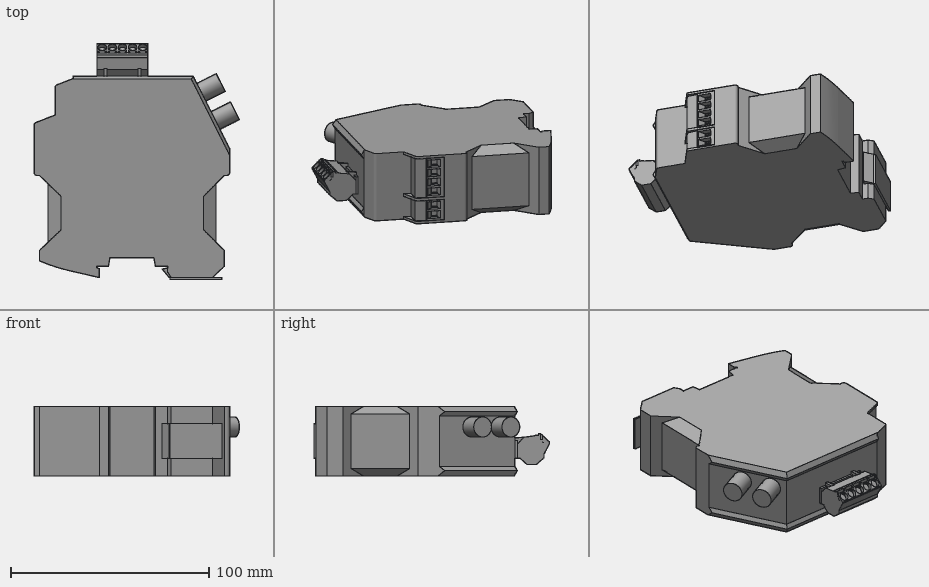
import cadquery as cq
import math

THICKNESS = 35.2
WIDTH = 98.8
TOP_Y = 102.7
SHOULDER_Y = 101.5
PANEL_LEFT_X = 19.8
PANEL_CORNER_X = 80.3
SLANT_END_Y = 66.1
SIDE_BOTTOM_Y = 52.5
CORNER_RADIUS = 1.5

STEP_X = 10.6
STEP_Y = 83.1
STEP_TOP_Y = 98.0
STEP_SLOPE = (SHOULDER_Y - STEP_TOP_Y) / (PANEL_LEFT_X - STEP_X)

FOOT_LEFT_X = 2.7
FOOT_RIGHT_X = WIDTH - FOOT_LEFT_X
NOTCH_LEFT_X = 13.7
NOTCH_RIGHT_X = 85.6
NOTCH_LOW_Y = 25.1
NOTCH_HIGH_Y = 42.0
FOOT_TOP_Y = 14.8
FOOT_LEFT_Y = 9.4
FOOT_BEND = (17.5, 4.5)
FOOT_TIP = (33.0, 1.0)
HOOK_NOTCH_Y = 5.5
HOOK_X = 31.8
HOOK_Y = 6.1
RAIL_Y = 6.7
RAIL_RECESS_Y = 11.0
RAIL_RECESS_LOW_X = (37.6, 61.2)
RAIL_RECESS_HIGH_X = (38.3, 60.5)
RIGHT_FOOT_X = 67.5
RIGHT_FOOT_STEP_Y = 3.7
RIGHT_FOOT_BASE_X = (69.2, 90.1)
RIGHT_FOOT_BASE_Y = 1.1

BLOCK_LEFT_X = 7.0
BLOCK_RIGHT_X = 91.9
BLOCK_INSET_Z = 3.8

RIDGE_DROP = 1.5
RIDGE_RUN = 2.7
GROOVE_DEPTH = 1.2

RIB_STEP = 0.5
TERMINAL_FACE_Y = (64.5, 73.5)
TERMINAL_GROUPS = ((1.3, 11.9, 2), (13.3, 33.9, 4))
TERMINAL_PITCH = 4.9
FUNNEL_Y = (66.5, 73.0)
FUNNEL_HEIGHT = 3.8
FUNNEL_DEPTH = 2.9
WELL_Y = (67.4, 70.5)
WELL_HEIGHT = 3.0
WELL_DEPTH = 1.2
SHELF_Y = 79.4
SHELF_X = 1.7

BARREL_DIAMETER = 10.1
BARREL_LENGTH = 11.0
BARREL_Z = 24.8
BARREL_OFFSETS = (9.2, 25.1)

PLUG_X = 31.8
PLUG_POLES = 5
PLUG_PITCH = 5.1
PLUG_WIDTH = 25.7
PLUG_LOW_Z = 8.9
PLUG_NECK_Y = 104.2
PLUG_BELLY_Y = (107.5, 112.4)
PLUG_BELLY_Z = 5.8
PLUG_FRONT_Y = 116.2
PLUG_FRONT_Z = (9.2, 11.0)
PLUG_NOSE_LOW_Z = 16.4
PLUG_LEDGE = (113.3, 20.6)
PLUG_LIP = (112.0, 20.7)
PLUG_LIP_FOOT = (111.2, 20.4)
SOCKET_HIGH_Z = 17.9
SOCKET_MARGIN = 0.4
SCREW_FACE_OUTER = (119.0, 17.1)
SCREW_FACE_INNER = (114.5, 21.4)
SCREW_CENTRE_Y = 117.2
SCREW_DIAMETER = 4.3
SCREW_DEPTH = 2.4
SLOT_Y = (114.4, 115.5)
SLOT_WIDTH = 4.3
SLOT_FLOOR_Z = 18.5
PLUG_HEEL = (106.0, 19.6)
PLUG_HEEL_LOW_Z = 16.1
LATCH_CENTRES_X = (36.1, 53.2)
LATCH_WIDTH = 1.7
LATCH_TOP = (106.7, 19.8)
LATCH_LOW_Z = 19.3

CLIP_Z = (8.9, 26.4)
CLIP_X = (68.6, 94.7)
CLIP_HOOK_HEEL_X = 68.1
CLIP_HOOK_TIP = (64.6, 5.4)

OVERLAP = 1.2
CLEARANCE = 6.0


def box_between(x, y, z):
    """Box spanning the given (low, high) pairs."""
    return cq.Workplane("XY").box(
        x[1] - x[0], y[1] - y[0], z[1] - z[0], centered=False
    ).translate((x[0], y[0], z[0]))


def housing():
    """Extruded housing outline with its four rounded corners."""
    step_low_y = STEP_Y - STEP_SLOPE * STEP_X
    body = (
        cq.Workplane("XY")
        .moveTo(*FOOT_TIP)
        .lineTo(*FOOT_BEND)
        .tangentArcPoint((FOOT_LEFT_X, FOOT_LEFT_Y), relative=False)
        .lineTo(FOOT_LEFT_X, FOOT_TOP_Y)
        .lineTo(NOTCH_LEFT_X, NOTCH_LOW_Y)
        .lineTo(NOTCH_LEFT_X, NOTCH_HIGH_Y)
        .lineTo(FOOT_LEFT_X, SIDE_BOTTOM_Y)
        .lineTo(0, SIDE_BOTTOM_Y)
        .lineTo(0, step_low_y)
        .lineTo(STEP_X, STEP_Y)
        .lineTo(STEP_X, STEP_TOP_Y)
        .lineTo(PANEL_LEFT_X, SHOULDER_Y)
        .lineTo(PANEL_LEFT_X, TOP_Y)
        .lineTo(PANEL_CORNER_X, TOP_Y)
        .lineTo(WIDTH, SLANT_END_Y)
        .lineTo(WIDTH, SIDE_BOTTOM_Y)
        .lineTo(FOOT_RIGHT_X, SIDE_BOTTOM_Y)
        .lineTo(NOTCH_RIGHT_X, NOTCH_HIGH_Y)
        .lineTo(NOTCH_RIGHT_X, NOTCH_LOW_Y)
        .lineTo(FOOT_RIGHT_X, FOOT_TOP_Y)
        .lineTo(FOOT_RIGHT_X, RAIL_Y)
        .lineTo(RIGHT_FOOT_BASE_X[1], RIGHT_FOOT_BASE_Y)
        .lineTo(RIGHT_FOOT_BASE_X[0], RIGHT_FOOT_BASE_Y)
        .lineTo(RIGHT_FOOT_X, RIGHT_FOOT_STEP_Y)
        .lineTo(RIGHT_FOOT_X, RAIL_Y)
        .lineTo(RAIL_RECESS_LOW_X[1], RAIL_Y)
        .lineTo(RAIL_RECESS_HIGH_X[1], RAIL_RECESS_Y)
        .lineTo(RAIL_RECESS_HIGH_X[0], RAIL_RECESS_Y)
        .lineTo(RAIL_RECESS_LOW_X[0], RAIL_Y)
        .lineTo(HOOK_X, RAIL_Y)
        .lineTo(HOOK_X, HOOK_Y)
        .lineTo(FOOT_TIP[0], HOOK_NOTCH_Y)
        .close()
        .extrude(THICKNESS)
    )
    rounded_corners = (
        (0, SIDE_BOTTOM_Y), (0, step_low_y), (STEP_X, STEP_TOP_Y), (WIDTH, SIDE_BOTTOM_Y)
    )
    for corner_x, corner_y in rounded_corners:
        edge = cq.selectors.NearestToPointSelector((corner_x, corner_y, THICKNESS / 2))
        body = body.edges("|Z").edges(edge).fillet(CORNER_RADIUS)
    return body


def waist_block(notch_x, outer_x, foot_x):
    """Block that fills a waist notch, its flanks sloping in towards the outer face."""
    flank_slope = (SIDE_BOTTOM_Y - NOTCH_HIGH_Y) / abs(notch_x - foot_x)
    reach = abs(notch_x - outer_x) * flank_slope
    low_y = NOTCH_LOW_Y - reach
    length = NOTCH_HIGH_Y - NOTCH_LOW_Y + 2 * reach
    return (
        cq.Workplane("XZ", origin=(0, low_y, 0))
        .polyline([
            (notch_x, 0),
            (outer_x, BLOCK_INSET_Z),
            (outer_x, THICKNESS - BLOCK_INSET_Z),
            (notch_x, THICKNESS),
        ])
        .close()
        .extrude(-length)
    )


def panel_relief(start, end):
    """Cutter that leaves two ridges on the panel face running from start to end."""
    along = cq.Vector(end[0] - start[0], end[1] - start[1], 0)
    outward = cq.Vector(-along.y, along.x, 0).normalized()
    length = along.Length + 2 * CLEARANCE
    origin = cq.Vector(*start, 0) - along.normalized() * CLEARANCE
    plane = cq.Plane(origin=origin, xDir=outward, normal=outward.cross(cq.Vector(0, 0, 1)))
    groove_run = RIDGE_RUN * GROOVE_DEPTH / RIDGE_DROP
    low_z = RIDGE_RUN
    high_z = THICKNESS - RIDGE_RUN
    sections = (
        [(-RIDGE_DROP, 0), (0, low_z), (CLEARANCE, low_z), (CLEARANCE, 0)],
        [(-RIDGE_DROP, THICKNESS), (0, high_z), (CLEARANCE, high_z), (CLEARANCE, THICKNESS)],
        [(0, low_z), (-GROOVE_DEPTH, low_z + groove_run),
         (-GROOVE_DEPTH, high_z - groove_run), (0, high_z)],
    )
    cutter = cq.Workplane("XY")
    for section in sections:
        cutter = cutter.add(cq.Workplane(plane).polyline(section).close().extrude(length))
    return cutter


def terminal_group(low_z, high_z, poles):
    """Cutter for one recessed group of side terminals."""
    face_low_y, face_high_y = TERMINAL_FACE_Y
    recess = (
        cq.Workplane("XY", origin=(0, 0, low_z))
        .polyline([
            (-CLEARANCE, face_low_y),
            (RIB_STEP, face_low_y),
            (RIB_STEP, face_high_y),
            (2 * RIB_STEP, face_high_y + RIB_STEP),
            (3 * RIB_STEP, SHELF_Y - 2 * RIB_STEP),
            (SHELF_X, SHELF_Y),
            (STEP_X, SHELF_Y),
            (STEP_X, STEP_Y),
            (-CLEARANCE, STEP_Y),
        ])
        .close()
        .extrude(high_z - low_z)
    )
    first_z = (low_z + high_z - (poles - 1) * TERMINAL_PITCH) / 2
    for pole in range(poles):
        recess = recess.union(wire_funnel(first_z + pole * TERMINAL_PITCH))
    return recess


def wire_funnel(centre_z):
    """Wire entry: a pocket with sloped ends and a rectangular well in its floor."""
    floor_x = RIB_STEP + FUNNEL_DEPTH
    pocket = (
        cq.Workplane("XY", origin=(0, 0, centre_z - FUNNEL_HEIGHT / 2))
        .polyline([
            (RIB_STEP, FUNNEL_Y[0]),
            (RIB_STEP, FUNNEL_Y[1]),
            (floor_x, WELL_Y[1]),
            (floor_x, WELL_Y[0]),
        ])
        .close()
        .extrude(FUNNEL_HEIGHT)
    )
    well = box_between(
        (floor_x, floor_x + WELL_DEPTH),
        WELL_Y,
        (centre_z - WELL_HEIGHT / 2, centre_z + WELL_HEIGHT / 2),
    )
    return pocket.union(well)


def fibre_barrel(offset):
    """Cylinder standing square on the slanted face."""
    angle = math.atan2(TOP_Y - SLANT_END_Y, WIDTH - PANEL_CORNER_X)
    outward = cq.Vector(math.sin(angle), math.cos(angle), 0)
    along = cq.Vector(math.cos(angle), -math.sin(angle), 0)
    sunk = GROOVE_DEPTH + OVERLAP
    base = cq.Vector(PANEL_CORNER_X, TOP_Y, BARREL_Z) + along * offset - outward * sunk
    return cq.Workplane("XY").add(
        cq.Solid.makeCylinder(BARREL_DIAMETER / 2, BARREL_LENGTH + sunk, base, outward)
    )


def plug():
    """Plug profile in YZ, with its latches, screw holes and slots."""
    body = (
        cq.Workplane("YZ", origin=(PLUG_X, 0, 0))
        .polyline([
            (TOP_Y, PLUG_LOW_Z),
            (PLUG_NECK_Y, PLUG_LOW_Z),
            (PLUG_BELLY_Y[0], PLUG_BELLY_Z),
            (PLUG_BELLY_Y[1], PLUG_BELLY_Z),
            (PLUG_FRONT_Y, PLUG_FRONT_Z[0]),
            (PLUG_FRONT_Y, PLUG_FRONT_Z[1]),
            (SCREW_FACE_OUTER[0], PLUG_NOSE_LOW_Z),
            SCREW_FACE_OUTER,
            SCREW_FACE_INNER,
            (PLUG_LEDGE[0], SCREW_FACE_INNER[1]),
            PLUG_LEDGE,
            PLUG_LIP,
            PLUG_LIP_FOOT,
            PLUG_HEEL,
            (TOP_Y, PLUG_HEEL_LOW_Z),
        ])
        .close()
        .extrude(PLUG_WIDTH)
    )
    for latch_x in LATCH_CENTRES_X:
        latch = (
            cq.Workplane("YZ", origin=(latch_x - LATCH_WIDTH / 2, 0, 0))
            .polyline([LATCH_TOP, (TOP_Y - OVERLAP, LATCH_LOW_Z),
                       (TOP_Y - OVERLAP, PLUG_HEEL_LOW_Z), (TOP_Y, PLUG_HEEL_LOW_Z - OVERLAP)])
            .close()
            .extrude(LATCH_WIDTH)
        )
        body = body.union(latch)

    rise = SCREW_FACE_INNER[1] - SCREW_FACE_OUTER[1]
    slope = rise / (SCREW_FACE_OUTER[0] - SCREW_FACE_INNER[0])
    screw_z = SCREW_FACE_OUTER[1] + slope * (SCREW_FACE_OUTER[0] - SCREW_CENTRE_Y)
    inward = cq.Vector(0, -slope, -1).normalized()
    for pole in range(PLUG_POLES):
        pole_x = PLUG_X + PLUG_WIDTH / 2 + (pole - (PLUG_POLES - 1) / 2) * PLUG_PITCH
        mouth = cq.Vector(pole_x, SCREW_CENTRE_Y, screw_z)
        hole = cq.Solid.makeCylinder(
            SCREW_DIAMETER / 2, SCREW_DEPTH + OVERLAP, mouth - inward * OVERLAP, inward
        )
        slot = box_between(
            (pole_x - SLOT_WIDTH / 2, pole_x + SLOT_WIDTH / 2),
            SLOT_Y,
            (SLOT_FLOOR_Z, SCREW_FACE_INNER[1] + OVERLAP),
        )
        body = body.cut(cq.Workplane("XY").add(hole)).cut(slot)
    return body


def plug_socket():
    """Raised seat under the plug, rising from the panel groove to the ridge height."""
    return box_between(
        (PLUG_X - SOCKET_MARGIN, PLUG_X + PLUG_WIDTH + SOCKET_MARGIN),
        (TOP_Y - GROOVE_DEPTH - OVERLAP, TOP_Y),
        (PLUG_LOW_Z, SOCKET_HIGH_Z),
    )


def rail_clip():
    """Flat plate under the right foot with a hook that grips the mounting rail."""
    plate = box_between(CLIP_X, (0, RIGHT_FOOT_BASE_Y), CLIP_Z)
    hook = (
        cq.Workplane("XY", origin=(0, 0, CLIP_Z[0]))
        .polyline([
            CLIP_HOOK_TIP,
            (RIGHT_FOOT_X + OVERLAP, HOOK_Y),
            (RIGHT_FOOT_BASE_X[0] + OVERLAP, RIGHT_FOOT_BASE_Y),
            (CLIP_HOOK_HEEL_X, RIGHT_FOOT_BASE_Y),
        ])
        .close()
        .extrude(CLIP_Z[1] - CLIP_Z[0])
    )
    return plate.union(hook)


result = housing()
result = result.union(waist_block(NOTCH_LEFT_X, BLOCK_LEFT_X, FOOT_LEFT_X))
result = result.union(waist_block(NOTCH_RIGHT_X, BLOCK_RIGHT_X, FOOT_RIGHT_X))

panel_corner = (PANEL_CORNER_X, TOP_Y)
for face_start, face_end in (
    ((PANEL_LEFT_X, TOP_Y), panel_corner),
    (panel_corner, (WIDTH, SLANT_END_Y)),
):
    for relief in panel_relief(face_start, face_end).vals():
        result = result.cut(cq.Workplane("XY").add(relief))

for group in TERMINAL_GROUPS:
    result = result.cut(terminal_group(*group))

for barrel_offset in BARREL_OFFSETS:
    result = result.union(fibre_barrel(barrel_offset))

result = result.union(plug_socket()).union(plug()).union(rail_clip())